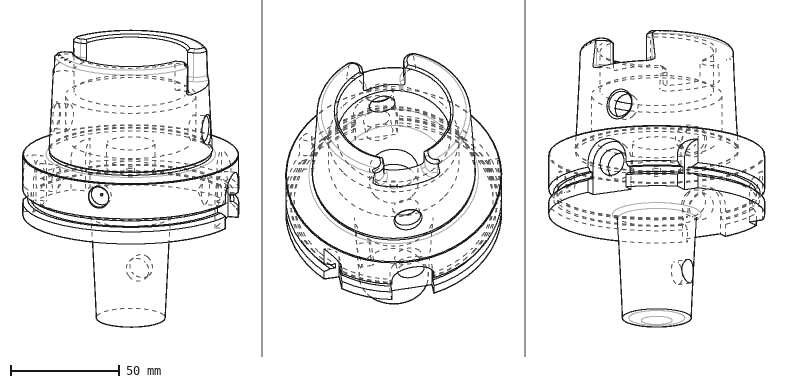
import cadquery as cq
import math


TOTAL_LENGTH = 129.9
SHANK_TOP = 50.0
SEAT_RADIUS = 37.9
TAPER_SLOPE = 0.05
NECK_RADIUS = 37.5
NECK_TOP = 2.2
SEAT_RING_RADIUS = 39.2
SEAT_RING_HEIGHT = 0.5
RIM_FILLET = 2.0

BORE_RADIUS = 26.4
BORE_CHAMFER = 1.2
LIP_Z = 30.5
CHAMBER_RADIUS = 30.3
SHOULDER_ANGLE = 30
CHAMBER_FLOOR_Z = 5.2
CHAMBER_FILLET = 5.5
TUBE_SEAT_RADIUS = 11.2
TUBE_SEAT_DEPTH = 11.7
CENTER_HOLE_RADIUS = 1.7
CENTER_HOLE_DEPTH = 3.9

NOTCH_HALF_WIDTH = 9.7
NOTCH_CORNER_RADIUS = 4.8
NOTCH_CORNER_X = 32.2
NOTCH_FLOOR_FILLET = 1.7
NOTCH_TOP_CHAMFER = 1.5
NOTCH_CHAMFER_ANGLE = 45
NOTCH_REACH_Y = 23.4
LEFT_NOTCH_FLOOR_Z = 40.0
RIGHT_NOTCH_FLOOR_Z = 35.1

CROSS_HOLE_RADIUS = 6.0
CROSS_HOLE_Z = 15.3
CROSS_HOLE_FLARE_DEPTH = 1.2

FLANGE_RADIUS = 50.0
FLANGE_THICKNESS = 29.0
FLANGE_CHAMFER = 0.4
GROOVE_Z = -20.0
GROOVE_RADIUS = 46.1
GROOVE_FLARE_RADIUS = 47.8
GROOVE_HALF_WIDTH = 1.5
GROOVE_MOUTH_HALF_WIDTH = 3.1

SLOT_RADIUS = 9.9
SLOT_CENTER_Z = -14.7
SLOT_FLOOR_X = 44.0
SLOT_HOLE_RADIUS = 6.2
SLOT_HOLE_DEPTH = 7.8
CORNER_NOTCH_X = 31.8
CORNER_NOTCH_Y = 31.6
CORNER_NOTCH_RADIUS = 8.0
CORNER_NOTCH_TOP_Z = -5.5
CHIP_HOLE_RADIUS = 4.8
CHIP_HOLE_CHAMFER = 0.4
CHIP_HOLE_Z = -7.1
CHIP_HOLE_DEPTH = 4.5
CHIP_MARK_RADIUS = 0.5
CHIP_MARK_DEPTH = 0.6
DRILL_POINT_ANGLE = 118

NOSE_TOP_RADIUS = 18.3
NOSE_END_RADIUS = 16.0
NOSE_FILLET = 2.2
NOSE_END_Z = -78.7
TIP_TOP_RADIUS = 13.0
TIP_END_RADIUS = 7.1
TIP_END_Z = SHANK_TOP - TOTAL_LENGTH
SCREW_HOLE_RADIUS = 5.5
SCREW_HOLE_Z = -58.5
SCREW_HOLE_DEPTH = 7.8

FLANGE_BOTTOM = -FLANGE_THICKNESS


def taper_radius(z):
    """Outer radius of the shank at height z."""
    return SEAT_RADIUS - TAPER_SLOPE * z


def make_blank():
    """Shank, flange and nose as one turned solid without the bore."""
    profile = (
        cq.Workplane("XZ")
        .moveTo(0, SHANK_TOP)
        .lineTo(taper_radius(SHANK_TOP), SHANK_TOP)
        .lineTo(taper_radius(NECK_TOP), NECK_TOP)
        .lineTo(NECK_RADIUS, NECK_TOP - (SEAT_RADIUS - NECK_RADIUS))
        .lineTo(NECK_RADIUS, SEAT_RING_HEIGHT)
        .lineTo(SEAT_RING_RADIUS, 0)
        .lineTo(FLANGE_RADIUS - FLANGE_CHAMFER, 0)
        .lineTo(FLANGE_RADIUS, -FLANGE_CHAMFER)
        .lineTo(FLANGE_RADIUS, GROOVE_Z + GROOVE_MOUTH_HALF_WIDTH)
        .lineTo(GROOVE_FLARE_RADIUS, GROOVE_Z + GROOVE_HALF_WIDTH)
        .lineTo(GROOVE_RADIUS, GROOVE_Z + GROOVE_HALF_WIDTH)
        .lineTo(GROOVE_RADIUS, GROOVE_Z - GROOVE_HALF_WIDTH)
        .lineTo(GROOVE_FLARE_RADIUS, GROOVE_Z - GROOVE_HALF_WIDTH)
        .lineTo(FLANGE_RADIUS, GROOVE_Z - GROOVE_MOUTH_HALF_WIDTH)
        .lineTo(FLANGE_RADIUS, FLANGE_BOTTOM)
        .lineTo(NOSE_TOP_RADIUS + NOSE_FILLET, FLANGE_BOTTOM)
        .radiusArc((NOSE_TOP_RADIUS, FLANGE_BOTTOM - NOSE_FILLET), -NOSE_FILLET)
        .lineTo(NOSE_END_RADIUS, NOSE_END_Z)
        .lineTo(TIP_TOP_RADIUS, NOSE_END_Z)
        .lineTo(TIP_END_RADIUS, TIP_END_Z)
        .lineTo(0, TIP_END_Z)
        .close()
    )
    return profile.revolve(360, (0, 0, 0), (0, 1, 0))


def make_bore():
    """Hollow inside of the shank: mouth, clamping shoulder, chamber and tube seat."""
    shoulder_drop = (CHAMBER_RADIUS - BORE_RADIUS) * math.tan(math.radians(SHOULDER_ANGLE))
    tube_seat_z = CHAMBER_FLOOR_Z - TUBE_SEAT_DEPTH
    center_hole_z = tube_seat_z - CENTER_HOLE_DEPTH
    profile = (
        cq.Workplane("XZ")
        .moveTo(0, SHANK_TOP)
        .lineTo(BORE_RADIUS + BORE_CHAMFER, SHANK_TOP)
        .lineTo(BORE_RADIUS, SHANK_TOP - BORE_CHAMFER)
        .lineTo(BORE_RADIUS, LIP_Z)
        .lineTo(CHAMBER_RADIUS, LIP_Z - shoulder_drop)
        .lineTo(CHAMBER_RADIUS, CHAMBER_FLOOR_Z + CHAMBER_FILLET)
        .radiusArc((CHAMBER_RADIUS - CHAMBER_FILLET, CHAMBER_FLOOR_Z), CHAMBER_FILLET)
        .lineTo(TUBE_SEAT_RADIUS, CHAMBER_FLOOR_Z)
        .lineTo(TUBE_SEAT_RADIUS, tube_seat_z)
        .lineTo(CENTER_HOLE_RADIUS, tube_seat_z)
        .lineTo(CENTER_HOLE_RADIUS, center_hole_z)
        .lineTo(0, center_hole_z)
        .close()
    )
    return profile.revolve(360, (0, 0, 0), (0, 1, 0))


def notch_outline(side, z):
    """Outline of a driving notch at height z, flaring round the rim ends."""
    corner_y = NOTCH_HALF_WIDTH + NOTCH_CORNER_RADIUS
    wall_end = side * (NOTCH_CORNER_X - NOTCH_CORNER_RADIUS)
    corner_x = side * NOTCH_CORNER_X
    outside = side * FLANGE_RADIUS
    return (
        cq.Workplane("XY", origin=(0, 0, z))
        .moveTo(0, NOTCH_HALF_WIDTH)
        .lineTo(wall_end, NOTCH_HALF_WIDTH)
        .radiusArc((corner_x, corner_y), -side * NOTCH_CORNER_RADIUS)
        .lineTo(corner_x, NOTCH_REACH_Y)
        .lineTo(outside, NOTCH_REACH_Y)
        .lineTo(outside, -NOTCH_REACH_Y)
        .lineTo(corner_x, -NOTCH_REACH_Y)
        .lineTo(corner_x, -corner_y)
        .radiusArc((wall_end, -NOTCH_HALF_WIDTH), -side * NOTCH_CORNER_RADIUS)
        .lineTo(0, -NOTCH_HALF_WIDTH)
        .close()
    )


def make_rim_notch(side, floor_z):
    """Cutter for one driving notch; side is -1 or +1 along X."""
    notch = notch_outline(side, floor_z).extrude(SHANK_TOP - floor_z)
    notch = notch.faces("<Z").edges().fillet(NOTCH_FLOOR_FILLET)
    chamfer_z = SHANK_TOP - NOTCH_TOP_CHAMFER
    chamfer = notch_outline(side, chamfer_z).extrude(NOTCH_TOP_CHAMFER, taper=-NOTCH_CHAMFER_ANGLE)
    return notch.union(chamfer)


def make_cross_hole(side):
    """Hole along X through one shank wall, with a 45 degree flared mouth."""
    flare_start = taper_radius(CROSS_HOLE_Z) - CROSS_HOLE_FLARE_DEPTH
    flare_length = 2 * CROSS_HOLE_FLARE_DEPTH
    edge_z = CROSS_HOLE_Z + CROSS_HOLE_RADIUS
    profile = (
        cq.Workplane("XZ")
        .moveTo(0, CROSS_HOLE_Z)
        .lineTo(0, edge_z)
        .lineTo(side * flare_start, edge_z)
        .lineTo(side * (flare_start + flare_length), edge_z + flare_length)
        .lineTo(side * (flare_start + flare_length), CROSS_HOLE_Z)
        .close()
    )
    return profile.revolve(360, (0, CROSS_HOLE_Z, 0), (1, CROSS_HOLE_Z, 0))


def make_drive_slot(side):
    """Round-topped slot with a drilled hole in its floor, open at the flange bottom."""
    floor_x = side * SLOT_FLOOR_X
    depth = side * (FLANGE_RADIUS - SLOT_FLOOR_X)
    slot = (
        cq.Workplane("YZ", origin=(floor_x, 0, 0))
        .moveTo(-SLOT_RADIUS, FLANGE_BOTTOM)
        .lineTo(-SLOT_RADIUS, SLOT_CENTER_Z)
        .threePointArc((0, SLOT_CENTER_Z + SLOT_RADIUS), (SLOT_RADIUS, SLOT_CENTER_Z))
        .lineTo(SLOT_RADIUS, FLANGE_BOTTOM)
        .close()
        .extrude(depth)
    )
    point_length = SLOT_HOLE_RADIUS / math.tan(math.radians(DRILL_POINT_ANGLE / 2))
    shoulder_x = floor_x - side * SLOT_HOLE_DEPTH
    hole = (
        cq.Workplane("XZ")
        .moveTo(floor_x, SLOT_CENTER_Z)
        .lineTo(floor_x, SLOT_CENTER_Z + SLOT_HOLE_RADIUS)
        .lineTo(shoulder_x, SLOT_CENTER_Z + SLOT_HOLE_RADIUS)
        .lineTo(shoulder_x - side * point_length, SLOT_CENTER_Z)
        .close()
        .revolve(360, (floor_x, SLOT_CENTER_Z, 0), (shoulder_x, SLOT_CENTER_Z, 0))
    )
    return slot.union(hole)


def make_corner_notch(side):
    """Round-topped notch that cuts the flange edge on the +Y side."""
    width = 2 * CORNER_NOTCH_RADIUS
    center_y = CORNER_NOTCH_Y + CORNER_NOTCH_RADIUS
    center_z = CORNER_NOTCH_TOP_Z - CORNER_NOTCH_RADIUS
    return (
        cq.Workplane("YZ", origin=(side * CORNER_NOTCH_X, 0, 0))
        .moveTo(CORNER_NOTCH_Y, FLANGE_BOTTOM)
        .lineTo(CORNER_NOTCH_Y, center_z)
        .threePointArc((center_y, CORNER_NOTCH_TOP_Z), (CORNER_NOTCH_Y + width, center_z))
        .lineTo(CORNER_NOTCH_Y + width, FLANGE_BOTTOM)
        .close()
        .extrude(side * FLANGE_RADIUS)
    )


def make_chip_hole():
    """Flat-bottomed data chip hole on the -Y side with a chamfered mouth and a centre mark."""
    floor_y = CHIP_HOLE_DEPTH - FLANGE_RADIUS
    profile = (
        cq.Workplane("XY", origin=(0, 0, CHIP_HOLE_Z))
        .moveTo(0, -FLANGE_RADIUS)
        .lineTo(CHIP_HOLE_RADIUS + CHIP_HOLE_CHAMFER, -FLANGE_RADIUS)
        .lineTo(CHIP_HOLE_RADIUS, CHIP_HOLE_CHAMFER - FLANGE_RADIUS)
        .lineTo(CHIP_HOLE_RADIUS, floor_y)
        .lineTo(CHIP_MARK_RADIUS, floor_y)
        .lineTo(CHIP_MARK_RADIUS, floor_y + CHIP_MARK_DEPTH)
        .lineTo(0, floor_y + CHIP_MARK_DEPTH)
        .close()
    )
    return profile.revolve(360, (0, 0, 0), (0, 1, 0))


def make_screw_hole():
    """Blind clamping screw hole on the +Y side of the nose."""
    floor_y = NOSE_TOP_RADIUS - SCREW_HOLE_DEPTH
    return (
        cq.Workplane("XZ", origin=(0, floor_y, SCREW_HOLE_Z))
        .circle(SCREW_HOLE_RADIUS)
        .extrude(-SCREW_HOLE_DEPTH)
    )


holder = make_blank().faces(">Z").edges().fillet(RIM_FILLET)
holder = holder.cut(make_rim_notch(-1, LEFT_NOTCH_FLOOR_Z))
holder = holder.cut(make_rim_notch(1, RIGHT_NOTCH_FLOOR_Z))
holder = holder.cut(make_bore())
for side in (-1, 1):
    holder = holder.cut(make_cross_hole(side))
    holder = holder.cut(make_drive_slot(side)).cut(make_corner_notch(side))
result = holder.cut(make_chip_hole()).cut(make_screw_hole())